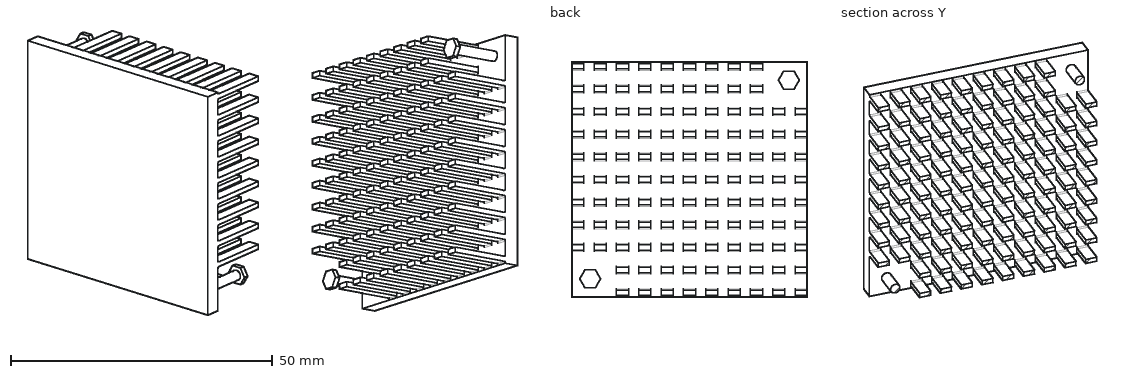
import cadquery as cq
import math

PLATE_SIDE = 45.0
TOTAL_DEPTH = 15.0
PLATE_THICKNESS = 3.0

FIN_COUNT = 11
FIN_WIDTH = 2.3
FIN_THICKNESS = 1.0
FIN_ROW_PITCH = 4.33
FIN_ROOT_RADIUS = 0.25
CLEARED_FINS = 2

BOLT_EDGE_DISTANCE = 3.5
SHANK_DIAMETER = 2.0
HEAD_ACROSS_FLATS = 3.45
HEAD_THICKNESS = 1.0
HEAD_TOP_Y = 13.65
HEAD_SIDES = 6

HALF_SIDE = PLATE_SIDE / 2
FIN_COLUMN_PITCH = (PLATE_SIDE - FIN_WIDTH) / (FIN_COUNT - 1)
HEAD_BASE_Y = HEAD_TOP_Y - HEAD_THICKNESS
HEAD_ACROSS_CORNERS = HEAD_ACROSS_FLATS / math.cos(math.pi / HEAD_SIDES)
BOLT_OFFSET = HALF_SIDE - BOLT_EDGE_DISTANCE


def plane_at(y):
    """Sketch plane at height y above the plain face: local x is X, local y is -Z, normal +Y."""
    return cq.Workplane(cq.Plane(origin=(0, y, 0), xDir=(1, 0, 0), normal=(0, 1, 0)))


def has_fin(column, row):
    """Columns count from -X and rows from +Z; the two bolt corners carry no fins."""
    first_cleared = FIN_COUNT - CLEARED_FINS
    upper_left = column < CLEARED_FINS and row < CLEARED_FINS
    lower_right = column >= first_cleared and row >= first_cleared
    return not (upper_left or lower_right)


def make_plate():
    return plane_at(0).rect(PLATE_SIDE, PLATE_SIDE).extrude(PLATE_THICKNESS)


def make_fin():
    """One fin centred on the Y axis, extruded along X from its profile with concave root fillets."""
    half_thickness = FIN_THICKNESS / 2
    half_root = half_thickness + FIN_ROOT_RADIUS
    fillet_top_y = PLATE_THICKNESS + FIN_ROOT_RADIUS
    profile = (
        cq.Workplane("YZ", origin=(-FIN_WIDTH / 2, 0, 0))
        .moveTo(PLATE_THICKNESS, -half_root)
        .radiusArc((fillet_top_y, -half_thickness), FIN_ROOT_RADIUS)
        .lineTo(TOTAL_DEPTH, -half_thickness)
        .lineTo(TOTAL_DEPTH, half_thickness)
        .lineTo(fillet_top_y, half_thickness)
        .radiusArc((PLATE_THICKNESS, half_root), FIN_ROOT_RADIUS)
        .close()
    )
    return profile.extrude(FIN_WIDTH)


def make_fins():
    """Copies of the fin at every occupied place of the grid."""
    fin = make_fin().val()
    middle = (FIN_COUNT - 1) / 2
    fins = []
    for column in range(FIN_COUNT):
        for row in range(FIN_COUNT):
            if has_fin(column, row):
                x = (column - middle) * FIN_COLUMN_PITCH
                z = (middle - row) * FIN_ROW_PITCH
                fins.append(fin.translate(cq.Vector(x, 0, z)))
    return fins


def make_bolts():
    """Round shanks rising from the plate, each under a hexagonal head with flats toward +Z and -Z."""
    centers = [(-BOLT_OFFSET, -BOLT_OFFSET), (BOLT_OFFSET, BOLT_OFFSET)]
    shank_length = HEAD_BASE_Y - PLATE_THICKNESS
    shanks = plane_at(PLATE_THICKNESS).pushPoints(centers).circle(SHANK_DIAMETER / 2).extrude(shank_length)
    heads = (
        plane_at(HEAD_BASE_Y)
        .pushPoints(centers)
        .polygon(HEAD_SIDES, HEAD_ACROSS_CORNERS)
        .extrude(HEAD_THICKNESS)
    )
    return shanks.union(heads)


heat_sink = make_plate().val().fuse(*make_fins())
result = cq.Workplane(heat_sink).union(make_bolts())